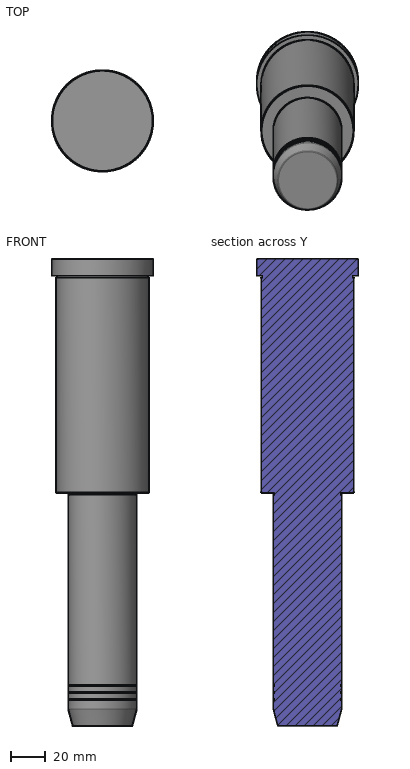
import cadquery as cq
import math

total_length = 271.0
head_height = 10.0
sleeve_length = 126.0

head_diameter = 59.0
sleeve_diameter = 54.0
pin_diameter = 40.0

head_chamfer = 0.5
sleeve_chamfer = 0.5

relief_width = 1.0
relief_depth = 0.5

nose_length = 10.0
nose_angle = 15.0
tip_fillet = 0.5

oil_groove_count = 3
oil_groove_pitch = 4.0
oil_groove_radius = 0.5
lowest_oil_groove_height = 15.5

head_bottom = total_length - head_height
sleeve_bottom = head_bottom - sleeve_length


def cylinder(diameter, bottom, height):
    """Solid cylinder on the Z axis, starting at the given height."""
    return cq.Workplane("XY").workplane(offset=bottom).circle(diameter / 2).extrude(height)


def cut_relief(shaft, diameter, shoulder):
    """Cut a square relief groove into a shaft just below the given shoulder height."""
    bottom = shoulder - relief_width
    outer = cylinder(diameter + 2 * relief_depth, bottom, relief_width)
    core = cylinder(diameter - 2 * relief_depth, bottom, relief_width)
    return shaft.cut(outer.cut(core))


def cut_oil_grooves(pin):
    """Cut the evenly spaced half-round grooves, each as a torus centred on the pin surface."""
    for index in range(oil_groove_count):
        height = lowest_oil_groove_height + index * oil_groove_pitch
        groove = cq.Solid.makeTorus(pin_diameter / 2, oil_groove_radius, cq.Vector(0, 0, height))
        pin = pin.cut(cq.Workplane(groove))
    return pin


def make_head():
    head = cylinder(head_diameter, head_bottom, head_height)
    return head.faces(">Z").edges().chamfer(head_chamfer)


def make_sleeve():
    """Sleeve with a chamfered lower edge and a relief groove under the head."""
    sleeve = cylinder(sleeve_diameter, sleeve_bottom, sleeve_length)
    sleeve = sleeve.faces("<Z").edges().chamfer(sleeve_chamfer)
    return cut_relief(sleeve, sleeve_diameter, head_bottom)


def make_nose():
    """Tapered end of the pin with a rounded tip edge."""
    tip_diameter = pin_diameter - 2 * nose_length * math.tan(math.radians(nose_angle))
    nose = (
        cq.Workplane("XY")
        .circle(tip_diameter / 2)
        .workplane(offset=nose_length)
        .circle(pin_diameter / 2)
        .loft()
    )
    return nose.faces("<Z").edges().fillet(tip_fillet)


def make_pin():
    """Pin with its nose, the oil grooves and a relief groove under the sleeve."""
    shank = cylinder(pin_diameter, nose_length, sleeve_bottom - nose_length)
    pin = cut_oil_grooves(shank.union(make_nose()))
    return cut_relief(pin, pin_diameter, sleeve_bottom)


result = make_head().union(make_sleeve()).union(make_pin())